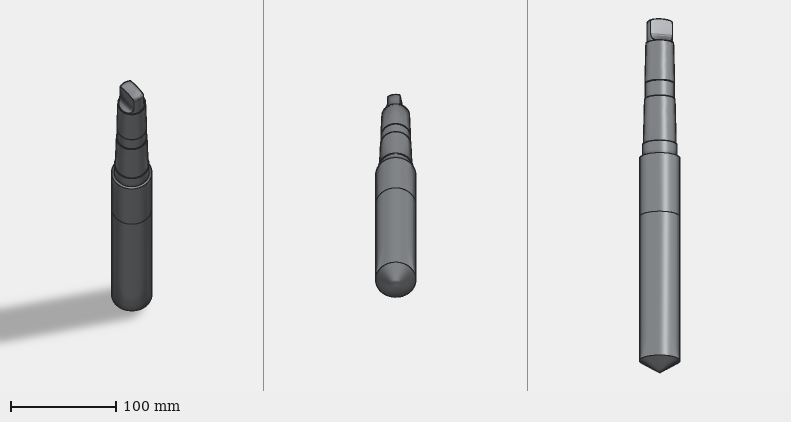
import cadquery as cq
import math

length = 349.0
body_radius = 38.5 / 2
point_angle = 116.0
split_height = 154.3

shoulder_height = 212.2
collar_radius = 33.0 / 2
collar_height = 13.3

taper_large_radius = 31.5 / 2
taper_small_radius = 26.5 / 2
taper_top = 325.5
relief_radius = 28.0 / 2
relief_bottom = 270.0
relief_top = 286.2
relief_runout = 0.7

tang_radius = 24.5 / 2
tang_thickness = 12.0
tang_angle = 5.0
flat_bottom = 333.0
dome_height = 2.0
tang_corner_radius = 2.5

taper_bottom = shoulder_height + collar_height
tang_root_radius = flat_bottom - taper_top
point_height = body_radius / math.tan(math.radians(point_angle / 2))


def taper_radius(z):
    """Radius of the shank taper at height z."""
    rise = (z - taper_bottom) / (taper_top - taper_bottom)
    return taper_large_radius + rise * (taper_small_radius - taper_large_radius)


def make_cutting_end():
    """Plain cylinder with a conical point."""
    profile = (
        cq.Workplane("XZ")
        .polyline([(0, 0), (body_radius, point_height), (body_radius, split_height), (0, split_height)])
        .close()
    )
    return profile.revolve(360, (0, 0), (0, 1))


def make_holder_blank():
    """Turned holder: cylinder, collar and taper shank."""
    outline = [
        (0, split_height),
        (body_radius, split_height),
        (body_radius, shoulder_height),
        (collar_radius, shoulder_height),
        (collar_radius, taper_bottom),
        (taper_large_radius, taper_bottom),
        (taper_radius(relief_bottom), relief_bottom),
        (relief_radius, relief_bottom + relief_runout),
        (relief_radius, relief_top - relief_runout),
        (taper_radius(relief_top), relief_top),
        (taper_small_radius, taper_top),
        (0, taper_top),
    ]
    return cq.Workplane("XZ").polyline(outline).close().revolve(360, (0, 0), (0, 1))


def make_tang_blank():
    """Round tang with a domed, rounded end."""
    sphere_radius = (tang_radius**2 + dome_height**2) / (2 * dome_height)
    half_radius = tang_radius / 2
    dome_middle = length - sphere_radius + math.sqrt(sphere_radius**2 - half_radius**2)
    blank = (
        cq.Workplane("XZ")
        .moveTo(0, taper_top)
        .lineTo(tang_radius, taper_top)
        .lineTo(tang_radius, length - dome_height)
        .threePointArc((half_radius, dome_middle), (0, length))
        .close()
        .revolve(360, (0, 0), (0, 1))
    )
    return blank.edges(">>Z[-2]").fillet(tang_corner_radius)


def make_flat_cutter(side):
    """Material beside one tang flat, with a concave root; side is +1 or -1."""
    flat = side * tang_thickness / 2
    arc_end = flat + side * tang_root_radius
    outside = side * body_radius
    arc_shift = tang_root_radius * (1 - math.sqrt(0.5))
    cutter = (
        cq.Workplane("YZ")
        .moveTo(flat, length)
        .lineTo(flat, flat_bottom)
        .threePointArc(
            (flat + side * arc_shift, flat_bottom - tang_root_radius + arc_shift),
            (arc_end, flat_bottom - tang_root_radius),
        )
        .lineTo(outside, flat_bottom - tang_root_radius)
        .lineTo(outside, length)
        .close()
        .extrude(body_radius, both=True)
    )
    return cutter.rotate((0, 0, 0), (0, 0, 1), tang_angle)


def make_holder():
    """Holder with its taper shank and two-flat tang."""
    holder = make_holder_blank().union(make_tang_blank())
    for side in (-1, 1):
        holder = holder.cut(make_flat_cutter(side))
    return holder


cutting_end = make_cutting_end()
holder = make_holder()

result = cq.Compound.makeCompound([cutting_end.val(), holder.val()])